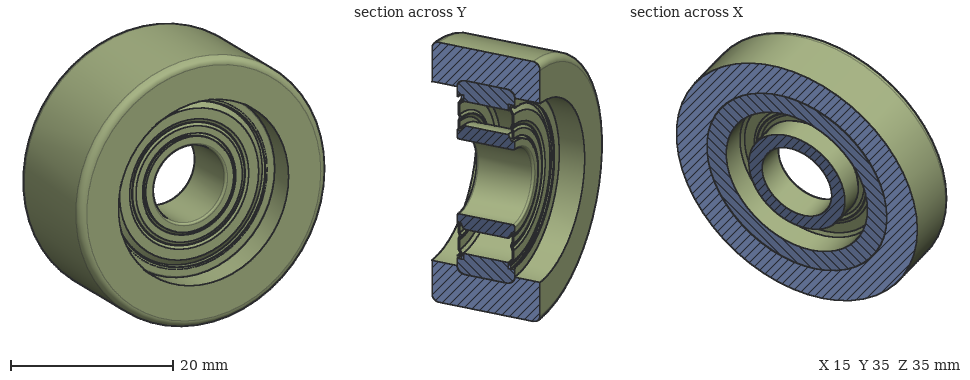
import cadquery as cq
import math


tyre_width = 15.0
tyre_radius = 17.5
tyre_edge_round = 1.0
tyre_mouth_radius = 12.0

bearing_width = 8.0
bearing_radius = 13.0
bearing_bore_radius = 5.0
mid_x = tyre_width / 2
bearing_left = mid_x - bearing_width / 2

outer_ring_round = 1.16
seal_mouth_radius = 10.7
seal_seat_radius = 11.0
seat_lip_thickness = 0.15
outer_land_radius = 10.2

bore_round = 0.3
inner_face_radius = 6.2
inner_step_depth = 0.45
inner_land_radius = 7.0

seal_thickness = 0.3
seal_inset = 0.13
seal_bore_radius = 6.58
groove_inner_radius = 7.5
groove_floor_inner_radius = 7.9
groove_floor_outer_radius = 8.0
groove_outer_radius = 8.4
groove_depth = 0.17
dish_radius = 9.8
flange_radius = 10.55

cone_slope = math.tan(math.radians(30))
flange_inset = seal_inset + (flange_radius - dish_radius) * cone_slope
seat_depth = flange_inset + seal_thickness
inner_cone_depth = (inner_land_radius - inner_face_radius) * cone_slope


def revolve_about_x(points):
    """Turn a closed (x, radius) outline into a ring around the X axis."""
    return cq.Workplane("XY").polyline(points).close().revolve(360, (0, 0, 0), (1, 0, 0))


def with_right_end(left_points):
    """Complete an outline whose right end mirrors its left end."""
    return left_points + [(tyre_width - x, radius) for x, radius in reversed(left_points)]


def cylinder(radius, left, width):
    """Solid cylinder along X, starting at x = left."""
    return cq.Workplane("YZ", origin=(left, 0, 0)).circle(radius).extrude(width)


def bearing_blank():
    """Full bearing envelope with rounded outer edges."""
    return cylinder(bearing_radius, bearing_left, bearing_width).edges("%CIRCLE").fillet(outer_ring_round)


def make_tyre():
    blank = cylinder(tyre_radius, 0, tyre_width).edges("%CIRCLE").fillet(tyre_edge_round)
    return blank.cut(cylinder(tyre_mouth_radius, 0, tyre_width)).cut(bearing_blank())


def make_outer_ring():
    lip_back = bearing_left + seat_lip_thickness
    seat_back = bearing_left + seat_depth
    opening = revolve_about_x(
        with_right_end([
            (bearing_left, 0),
            (bearing_left, seal_mouth_radius),
            (lip_back, seal_mouth_radius),
            (lip_back, seal_seat_radius),
            (seat_back, seal_seat_radius),
            (seat_back, outer_land_radius),
        ])
    )
    return bearing_blank().cut(opening)


def make_inner_ring():
    step_x = bearing_left + inner_step_depth
    body = revolve_about_x(
        with_right_end([
            (bearing_left, 0),
            (bearing_left, inner_face_radius),
            (step_x, inner_face_radius),
            (step_x + inner_cone_depth, inner_land_radius),
        ])
    )
    ring = body.cut(cylinder(bearing_bore_radius, bearing_left, bearing_width))
    bore_edges = ring.edges("%CIRCLE").edges(cq.selectors.RadiusNthSelector(0))
    return bore_edges.fillet(bore_round)


def make_left_seal():
    plate_x = bearing_left + seal_inset
    groove_x = plate_x + groove_depth
    flange_x = bearing_left + flange_inset
    front = [
        (flange_x, seal_seat_radius),
        (flange_x, flange_radius),
        (plate_x, dish_radius),
        (plate_x, groove_outer_radius),
        (groove_x, groove_floor_outer_radius),
        (groove_x, groove_floor_inner_radius),
        (plate_x, groove_inner_radius),
        (plate_x, seal_bore_radius),
    ]
    back = [(x + seal_thickness, radius) for x, radius in reversed(front)]
    return revolve_about_x(front + back)


tyre = make_tyre()
outer_ring = make_outer_ring()
inner_ring = make_inner_ring()
left_seal = make_left_seal()
right_seal = left_seal.mirror("YZ", (mid_x, 0, 0))

result = cq.Compound.makeCompound(
    [tyre.val(), outer_ring.val(), inner_ring.val(), left_seal.val(), right_seal.val()]
)